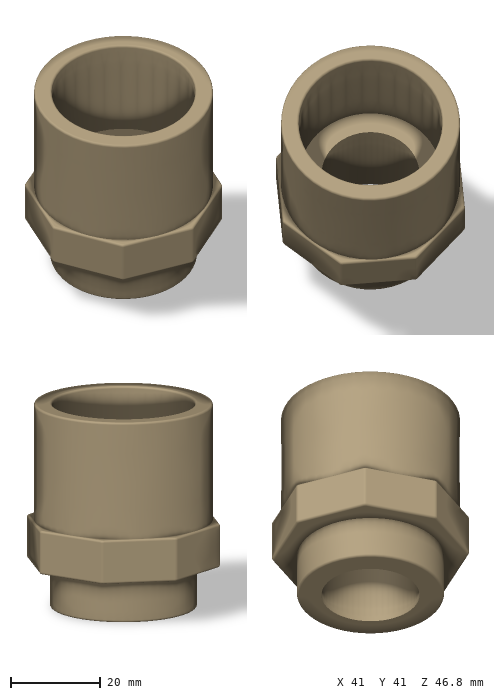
import cadquery as cq
import math

total_height = 46.8
spigot_height = 10.0
collar_height = 10.0
collar_top = spigot_height + collar_height

spigot_diameter = 33.0
collar_across_flats = 41.0
body_base_diameter = 40.15
body_rim_diameter = 40.1

bore_diameter = 22.0
socket_depth = 23.5
socket_floor_diameter = 31.75
socket_mouth_diameter = 32.2

edge_radius = 0.5
collar_corner_radius = 1.0

collar_sides = 8
corner_angle = 180.0 / collar_sides


def tapered_cylinder(base_diameter, top_diameter, base_z, top_z):
    height = top_z - base_z
    return cq.Workplane(
        cq.Solid.makeCone(base_diameter / 2, top_diameter / 2, height, cq.Vector(0, 0, base_z))
    )


def spigot():
    cylinder = cq.Workplane("XY").circle(spigot_diameter / 2).extrude(collar_top)
    return cylinder.faces("<Z").edges().fillet(edge_radius)


def collar():
    across_corners = collar_across_flats / math.cos(math.radians(corner_angle))
    prism = (
        cq.Workplane("XY", origin=(0, 0, spigot_height))
        .transformed(rotate=(0, 0, corner_angle))
        .polygon(collar_sides, across_corners)
        .extrude(collar_height)
    )
    return prism.edges("|Z").fillet(collar_corner_radius).faces("<Z or >Z").edges().fillet(edge_radius)


def socket_body():
    body = tapered_cylinder(body_base_diameter, body_rim_diameter, collar_top - edge_radius, total_height)
    body = body.cut(socket())
    return body.faces(">Z").edges().fillet(edge_radius)


def socket():
    floor_z = total_height - socket_depth
    return tapered_cylinder(socket_floor_diameter, socket_mouth_diameter, floor_z, total_height)


def through_bore():
    return cq.Workplane("XY").circle(bore_diameter / 2).extrude(total_height)


result = spigot().union(collar()).union(socket_body()).cut(through_bore())